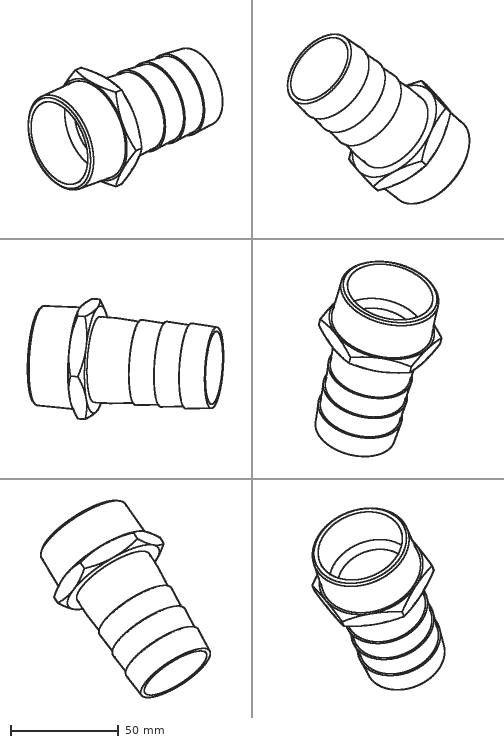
import cadquery as cq
import math


total_length = 84.0
thread_length = 20.0
hex_length = 8.0
barb_count = 4
barb_length = 12.0
hex_end = thread_length + hex_length
barbs_start = total_length - barb_count * barb_length

hex_sides = 6
hex_across_flats = 50.0
thread_base_diameter = 47.8
thread_taper = 1 / 16
thread_chamfer = 1.0
barb_crest_diameter = 40.0
barb_root_diameter = 38.0

hex_chamfer_angle = 30.0

wide_bore_diameter = 40.5
wide_bore_depth = 20.75
narrow_bore_diameter = 34.0
bore_cone_length = (wide_bore_diameter - narrow_bore_diameter) / 2


def revolve_profile(points):
    """Turn (radius, Y) points, drawn in the XY plane, around the Y axis."""
    return cq.Workplane("XY").polyline(points).close().revolve(360, (0, 0), (0, 1))


def make_thread_end():
    base_radius = thread_base_diameter / 2
    tip_radius = base_radius - thread_taper * thread_length / 2
    return revolve_profile([
        (0, 0),
        (tip_radius - thread_chamfer, 0),
        (tip_radius, thread_chamfer),
        (base_radius, thread_length),
        (0, thread_length),
    ])


def make_hexagon():
    corner_radius = hex_across_flats / 2 / math.cos(math.pi / hex_sides)
    prism = (
        cq.Workplane("XZ", origin=(0, hex_end, 0))
        .polygon(hex_sides, 2 * corner_radius)
        .extrude(hex_length)
    )
    flat_radius = hex_across_flats / 2
    corner_drop = (corner_radius - flat_radius) * math.tan(math.radians(hex_chamfer_angle))
    blank = revolve_profile([
        (0, thread_length),
        (flat_radius, thread_length),
        (corner_radius, thread_length + corner_drop),
        (corner_radius, hex_end - corner_drop),
        (flat_radius, hex_end),
        (0, hex_end),
    ])
    return prism.intersect(blank)


def make_hose_tail():
    crest_radius = barb_crest_diameter / 2
    root_radius = barb_root_diameter / 2
    points = [(0, hex_end), (crest_radius, hex_end)]
    for index in range(barb_count):
        barb_start = barbs_start + index * barb_length
        points.append((crest_radius, barb_start))
        points.append((root_radius, barb_start + barb_length))
    points.append((0, total_length))
    return revolve_profile(points)


def make_bore():
    wide_radius = wide_bore_diameter / 2
    narrow_radius = narrow_bore_diameter / 2
    return revolve_profile([
        (0, 0),
        (wide_radius, 0),
        (wide_radius, wide_bore_depth),
        (narrow_radius, wide_bore_depth + bore_cone_length),
        (narrow_radius, total_length),
        (0, total_length),
    ])


result = make_thread_end().union(make_hexagon()).union(make_hose_tail()).cut(make_bore())